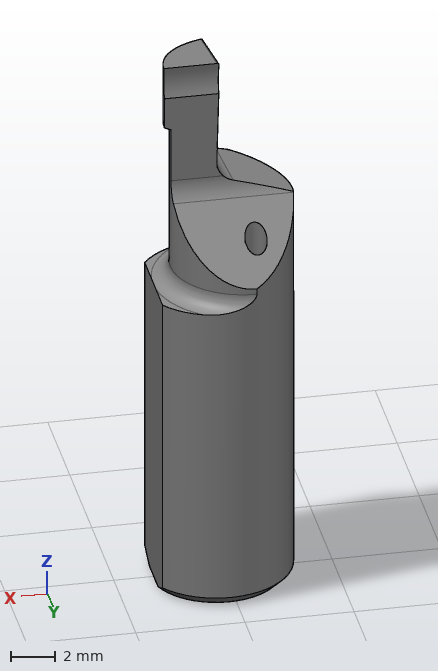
import cadquery as cq
import math

SHANK_RADIUS = 3.5
FLAT_X = 2.85
END_CHAMFER = 0.5
TOTAL_LENGTH = 26.0
SHOULDER_Z = 15.0

NECK_CENTER_X = -1.2
NECK_RADIUS = 3.28
NECK_FILLET = 0.8

HEAD_CENTER_X = -0.96
HEAD_CENTER_Y = 0.1
HEAD_RADIUS = 3.34
HEAD_LENGTH = 3.0
UNDERCUT_DROP = 0.13
TIP_RELIEF_ANGLE = 7.5
TIP_EDGE_RADIUS = 0.1

GROOVE_LENGTH = 1.5
GROOVE_BOTTOM_BELOW_TIP = 0.6
GROOVE_BOTTOM_Y = -0.05
TIP_BACK_Y = 0.03

RAKE_TOP_X = -0.15
RAKE_LEAN_ANGLE = 1.5
CHIP_FLOOR_ANGLE = 15.0
CHIP_CORNER_Z = 20.2
CHIP_CORNER_RADIUS = 1.0
CHIP_TURN_ANGLE = 2.2
CHIP_DROP_ANGLE = 2.7

BACK_Y = 0.12
SLOPE_ANGLE = 49.0
SLOPE_CORNER_Z = 19.7
SLOPE_FILLET = 1.5

HOLE_DIAMETER = 1.0
HOLE_X = -1.48
HOLE_Y = 1.77

REACH = 12.0


def sin_deg(angle):
    return math.sin(math.radians(angle))


def tan_deg(angle):
    return math.tan(math.radians(angle))


def make_shank():
    """Round bar up to the tip, with the end chamfer and the flat."""
    bar = cq.Workplane("XY").circle(SHANK_RADIUS).extrude(TOTAL_LENGTH)
    bar = bar.faces("<Z").chamfer(END_CHAMFER)
    beyond_flat = cq.Workplane("XY").box(
        REACH, 2 * REACH, TOTAL_LENGTH, centered=(False, True, False)
    )
    return bar.cut(beyond_flat.translate((FLAT_X, 0, 0)))


def make_neck_cutter():
    """Ring around the neck, rounded where it meets the shoulder."""
    fillet_top_z = SHOULDER_Z + NECK_FILLET
    outer_radius = NECK_RADIUS + REACH
    bend = NECK_FILLET * (1 - sin_deg(45))
    ring = (
        cq.Workplane("XZ")
        .moveTo(NECK_RADIUS, TOTAL_LENGTH)
        .lineTo(NECK_RADIUS, fillet_top_z)
        .threePointArc(
            (NECK_RADIUS + bend, SHOULDER_Z + bend),
            (NECK_RADIUS + NECK_FILLET, SHOULDER_Z),
        )
        .lineTo(outer_radius, SHOULDER_Z)
        .lineTo(outer_radius, TOTAL_LENGTH)
        .close()
        .revolve(360, (0, 0, 0), (0, 1, 0))
    )
    return ring.translate((NECK_CENTER_X, 0, 0))


def make_head():
    """Wider disc at the tip whose underside tapers down into the neck."""
    underside_z = TOTAL_LENGTH - HEAD_LENGTH
    disc = cq.Workplane("XY", origin=(HEAD_CENTER_X, HEAD_CENTER_Y, underside_z))
    disc = disc.circle(HEAD_RADIUS).extrude(HEAD_LENGTH)
    taper = (
        cq.Workplane("XY", origin=(HEAD_CENTER_X, HEAD_CENTER_Y, underside_z))
        .circle(HEAD_RADIUS)
        .workplane(offset=-UNDERCUT_DROP)
        .center(NECK_CENTER_X - HEAD_CENTER_X, -HEAD_CENTER_Y)
        .circle(NECK_RADIUS)
        .loft()
    )
    return disc.union(taper)


def make_chip_cutter():
    """Chip space, swept across the part with a slight turn and drop."""
    rise = TOTAL_LENGTH - CHIP_CORNER_Z
    corner_x = RAKE_TOP_X + rise * tan_deg(RAKE_LEAN_ANGLE)
    over = REACH / 2
    cutter = (
        cq.Workplane("XZ", origin=(0, REACH, 0))
        .moveTo(corner_x, CHIP_CORNER_Z)
        .lineTo(corner_x - REACH, CHIP_CORNER_Z - REACH * tan_deg(CHIP_FLOOR_ANGLE))
        .lineTo(corner_x - REACH, TOTAL_LENGTH + over)
        .lineTo(RAKE_TOP_X - over * tan_deg(RAKE_LEAN_ANGLE), TOTAL_LENGTH + over)
        .close()
        .extrude(2 * REACH)
    )
    corner = cq.selectors.NearestToPointSelector((corner_x, 0, CHIP_CORNER_Z))
    cutter = cutter.edges(corner).fillet(CHIP_CORNER_RADIUS)
    pivot = (corner_x, 0, CHIP_CORNER_Z)
    cutter = cutter.rotate(pivot, (corner_x + 1, 0, CHIP_CORNER_Z), CHIP_DROP_ANGLE)
    return cutter.rotate(pivot, (corner_x, 0, CHIP_CORNER_Z + 1), CHIP_TURN_ANGLE)


def make_back_cutter():
    """Space behind the vertical back face and above the long slope."""
    far_y = BACK_Y + REACH
    cutter = (
        cq.Workplane("YZ", origin=(-REACH, 0, 0))
        .moveTo(BACK_Y, SLOPE_CORNER_Z)
        .lineTo(far_y, SLOPE_CORNER_Z - REACH * tan_deg(SLOPE_ANGLE))
        .lineTo(far_y, TOTAL_LENGTH + REACH)
        .lineTo(BACK_Y, TOTAL_LENGTH + REACH)
        .close()
        .extrude(2 * REACH)
    )
    corner = cq.selectors.NearestToPointSelector((0, BACK_Y, SLOPE_CORNER_Z))
    return cutter.edges(corner).fillet(SLOPE_FILLET)


def make_groove_cutter():
    """Concave groove along X that hollows the back face up to the tip."""
    return (
        cq.Workplane("YZ", origin=(-REACH, 0, 0))
        .moveTo(BACK_Y, TOTAL_LENGTH - GROOVE_LENGTH)
        .threePointArc(
            (GROOVE_BOTTOM_Y, TOTAL_LENGTH - GROOVE_BOTTOM_BELOW_TIP),
            (TIP_BACK_Y, TOTAL_LENGTH),
        )
        .lineTo(REACH, TOTAL_LENGTH)
        .lineTo(REACH, TOTAL_LENGTH - GROOVE_LENGTH)
        .close()
        .extrude(2 * REACH)
    )


def make_tip_cutter():
    """Space above the tip face, which falls away toward -Y."""
    cutter = cq.Workplane("XY").box(2 * REACH, 2 * REACH, REACH, centered=(True, True, False))
    cutter = cutter.rotate((0, 0, 0), (1, 0, 0), TIP_RELIEF_ANGLE)
    return cutter.translate((0, TIP_BACK_Y, TOTAL_LENGTH))


def make_coolant_hole():
    hole = cq.Workplane("XY").center(HOLE_X, HOLE_Y)
    return hole.circle(HOLE_DIAMETER / 2).extrude(TOTAL_LENGTH)


def round_tip_edge(body):
    """Round the edge between the rake wall and the tip face."""
    tip_edge = body.faces(">Z").edges("<X")
    return tip_edge.fillet(TIP_EDGE_RADIUS)


blank = make_shank().cut(make_neck_cutter()).union(make_head())
tool = (
    blank.cut(make_back_cutter())
    .cut(make_chip_cutter())
    .cut(make_groove_cutter())
    .cut(make_tip_cutter())
    .cut(make_coolant_hole())
)
result = round_tip_edge(tool)